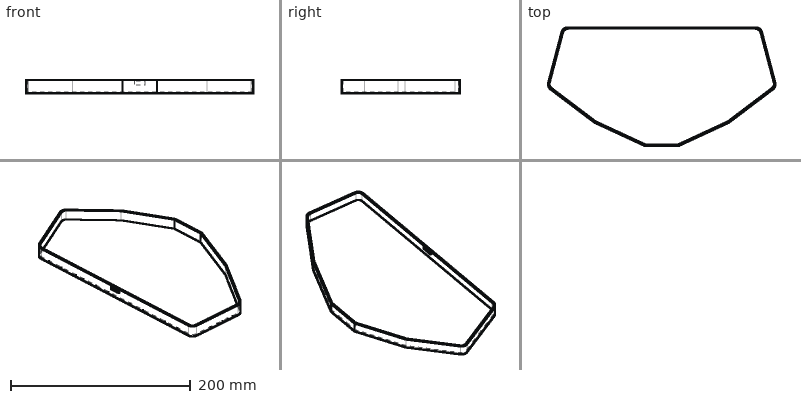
import cadquery as cq

depth = 131.7
height = 15.0
wall = 1.5
floor = 1.5
corner_radius = 7.3

back_half = 110.0
side_half = 127.5
shoulder_half = 74.5
front_half = 19.0

side_setback = 66.0
shoulder_setback = 106.0

window_width = 11.0
window_height = 4.8
window_top_gap = 1.0
cut_reach = 2 * wall

back_y = depth / 2


def outline_points():
    """Sharp outline, symmetric about the YZ plane."""
    right_half = [
        (back_half, back_y),
        (side_half, back_y - side_setback),
        (shoulder_half, back_y - shoulder_setback),
        (front_half, back_y - depth),
    ]
    left_half = [(-x, y) for x, y in reversed(right_half)]
    return right_half + left_half


def make_solid_body():
    """Full-height block with the back and side corners rounded."""
    body = cq.Workplane("XY").polyline(outline_points()).close().extrude(height)
    body = body.edges("|Z and >Y").fillet(corner_radius)
    return body.edges("|Z and (<X or >X)").fillet(corner_radius)


def make_cavity(body):
    """Interior above the floor, offset inward from the outer wall."""
    outer_wire = body.faces("<Z").wires().val()
    inner_wire = outer_wire.offset2D(-wall, "intersection")[0]
    cavity = cq.Workplane("XY").add(inner_wire).toPending().extrude(height)
    return cavity.translate((0, 0, floor))


def make_window():
    """Rectangular cutter centred on the back wall."""
    cutter = cq.Workplane("XY").box(window_width, 2 * cut_reach, window_height)
    return cutter.translate((0, back_y, height - window_top_gap - window_height / 2))


body = make_solid_body()
result = body.cut(make_cavity(body)).cut(make_window())